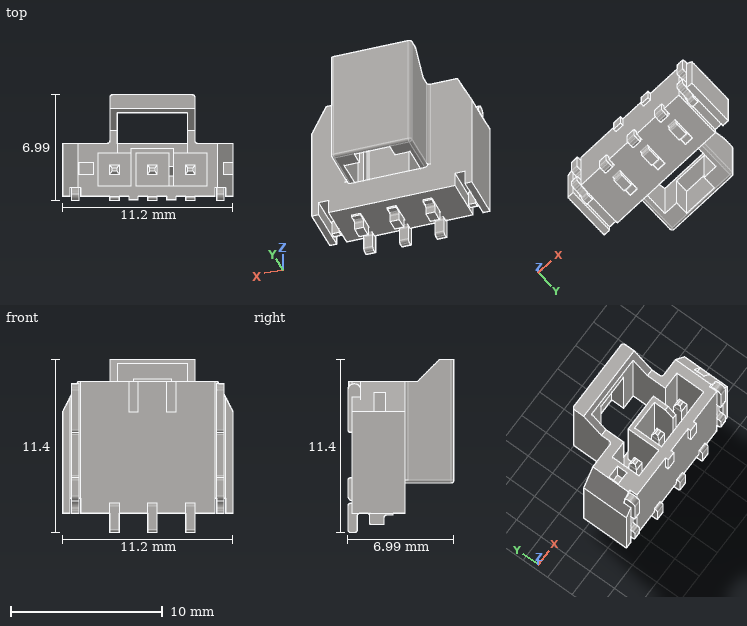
import cadquery as cq

BODY_WIDTH = 11.24
BODY_DEPTH = 3.5
BODY_HEIGHT = 8.71
SHOULDER_WIDTH = 1.02
SHOULDER_HEIGHT = 2.0

HOOD_WIDTH = 5.62
HOOD_WALL = 0.5
HOOD_BACK_WALL = 1.22
HOOD_BACK = 6.72
HOOD_BOTTOM = 2.0
HOOD_TOP = 10.16
HOOD_SLOPE_HEIGHT = HOOD_TOP - BODY_HEIGHT
HOOD_RIM_DEPTH = 0.94
HOOD_RADIUS = 0.19
HOOD_ROOT_RADIUS = 0.19

CATCH_WIDTH = 2.5
CATCH_DEPTH = 0.97
CATCH_TOP = 8.86

PITCH = 2.5
ROW_CENTRE = 0.3
PIN_XS = [ROW_CENTRE + i * PITCH for i in (-1, 0, 1)]
PIN_Y = 1.77
PIN_SIZE = 0.63
PIN_TIP_WIDTH = 0.36
PIN_TIP_DEPTH = 0.22
PIN_TIP_LENGTH = 0.5
PIN_TOP = 7.0

POCKET_SIZE = 2.19
CAVITY_WIDTH = 2 * PITCH + POCKET_SIZE
CAVITY_FRONT = PIN_Y - POCKET_SIZE / 2
CAVITY_BACK = PIN_Y + POCKET_SIZE / 2
CAVITY_FLOOR = 1.5
LATCH_FLOOR = HOOD_BOTTOM

TOWER_WALL = 0.31
TOWER_WIDTH = POCKET_SIZE + 2 * TOWER_WALL
TOWER_BACK = CAVITY_BACK + TOWER_WALL
KEY_SLOPE_START = 1.98
KEY_SLOPE_END = 1.34

RIB_WIDTH = 0.62
RIB_HEIGHT = 2.01
RIB_PROJECTION = 0.22

RECESS_LEFT_XS = (-4.54, -3.59)
RECESS_RIGHT_X = 4.98
RECESS_FRONT = 1.45
RECESS_BACK = 2.22
RECESS_DEPTH = 2.0

GROOVE_X = 4.785
GROOVE_WIDTH = 0.69
GROOVE_DEPTH = 0.58
NOTCH_HEIGHT = 0.99

STRIP_FACE = -0.27
TAIL_BOTTOM = -1.27

NAIL_WIDTH = 0.5
NAIL_TOP = 8.55
NAIL_HOOK_RADIUS = 0.4
NAIL_STRIP_FRONT = 0.24
NAIL_PAD_BOTTOM = 5.34
NAIL_FOOT_TOP = 2.36
NAIL_FOOT_BOTTOM = 0.83
NAIL_PAD_RADIUS = 0.17
NAIL_STRIP_RADIUS = 0.14
NAIL_FOOT_RADIUS = 0.32
NAIL_TAIL_FRONT = 0.7
NAIL_TAIL_BACK = 1.2
NAIL_ARCH_RADIUS = 0.46
NAIL_TAIL_RADIUS = 0.17

TAIL_BACK = 0.36
TAIL_TOP = 0.68
TAIL_RADIUS = 0.2
STUB_FRONT = 1.15
STUB_BACK = 2.12
STUB_BOTTOM = -0.74
STUB_RADIUS = 0.12
STEP_BACK = 2.71
STEP_BOTTOM = -0.12
CONTACT_ROOT_RADIUS = 0.16


def box(x_range, y_range, z_range):
    size = [high - low for low, high in (x_range, y_range, z_range)]
    corner = (x_range[0], y_range[0], z_range[0])
    return cq.Workplane("XY").box(*size, centered=False).translate(corner)


def around(centre, width):
    return (centre - width / 2, centre + width / 2)


def along_x(outline, centre_x, width):
    """Extrude a closed YZ outline along X, centred on centre_x."""
    return outline.extrude(width).translate((centre_x - width / 2, 0, 0))


def side_sheet(points, centre_x, width):
    """Extrude a polygon of (Y, Z) points along X, centred on centre_x."""
    return along_x(cq.Workplane("YZ").polyline(points).close(), centre_x, width)


def make_block():
    half = BODY_WIDTH / 2
    shoulder_x = half - SHOULDER_WIDTH
    shoulder_z = BODY_HEIGHT - SHOULDER_HEIGHT
    outline = [
        (-half, 0),
        (half, 0),
        (half, shoulder_z),
        (shoulder_x, BODY_HEIGHT),
        (-shoulder_x, BODY_HEIGHT),
        (-half, shoulder_z),
    ]
    return cq.Workplane("XZ").polyline(outline).close().extrude(-BODY_DEPTH)


def make_hood():
    slope_back = HOOD_BACK - HOOD_RIM_DEPTH
    outline = [
        (BODY_DEPTH, HOOD_BOTTOM),
        (HOOD_BACK, HOOD_BOTTOM),
        (HOOD_BACK, HOOD_TOP),
        (slope_back, HOOD_TOP),
        (slope_back - HOOD_SLOPE_HEIGHT, BODY_HEIGHT),
        (BODY_DEPTH, BODY_HEIGHT),
    ]
    hood = side_sheet(outline, ROW_CENTRE, HOOD_WIDTH)
    hood = hood.edges(">Y and |Z").fillet(HOOD_RADIUS)
    return hood.faces("<Z").edges("not <Y").fillet(HOOD_RADIUS)


def add_hood_root(housing):
    """Concave fillets where the hood's sides meet the back of the block."""
    for side in (-1, 1):
        x = ROW_CENTRE + side * HOOD_WIDTH / 2
        web = (
            cq.Workplane("XY", origin=(x, BODY_DEPTH, HOOD_BOTTOM + HOOD_RADIUS))
            .lineTo(side * HOOD_ROOT_RADIUS, 0)
            .radiusArc((0, HOOD_ROOT_RADIUS), side * HOOD_ROOT_RADIUS)
            .close()
            .extrude(BODY_HEIGHT - HOOD_BOTTOM - HOOD_RADIUS)
        )
        housing = housing.union(web)
    return housing


def cut_cavity(housing):
    above = HOOD_TOP
    inner = around(ROW_CENTRE, HOOD_WIDTH - 2 * HOOD_WALL)
    hood_front = HOOD_BACK - HOOD_BACK_WALL
    cavity = box(around(ROW_CENTRE, CAVITY_WIDTH), (CAVITY_FRONT, CAVITY_BACK), (CAVITY_FLOOR, above))
    latch_slot = box(inner, (CAVITY_BACK, BODY_DEPTH), (LATCH_FLOOR, above))
    hood_opening = box(inner, (BODY_DEPTH, hood_front), (0, above))
    catch = box(around(ROW_CENTRE, CATCH_WIDTH), (hood_front, hood_front + CATCH_DEPTH), (0, CATCH_TOP))
    return housing.cut(cavity).cut(latch_slot).cut(hood_opening).cut(catch)


def make_tower():
    outer = box(around(ROW_CENTRE, TOWER_WIDTH), (CAVITY_FRONT, TOWER_BACK), (CAVITY_FLOOR, BODY_HEIGHT))
    inner = box(around(ROW_CENTRE, POCKET_SIZE), (CAVITY_FRONT, CAVITY_BACK), (CAVITY_FLOOR, BODY_HEIGHT))
    slope_drop = KEY_SLOPE_START - KEY_SLOPE_END
    key_gap = [
        (CAVITY_FRONT, LATCH_FLOOR),
        (KEY_SLOPE_END, LATCH_FLOOR),
        (KEY_SLOPE_END, BODY_HEIGHT - slope_drop),
        (KEY_SLOPE_START, BODY_HEIGHT),
        (CAVITY_FRONT, BODY_HEIGHT),
    ]
    wall_x = ROW_CENTRE + (POCKET_SIZE + TOWER_WALL) / 2
    return outer.cut(inner).cut(side_sheet(key_gap, wall_x, TOWER_WALL))


def add_ribs(housing):
    for side in (-1, 1):
        rib_x = ROW_CENTRE + side * PITCH / 2
        z_range = (BODY_HEIGHT - RIB_HEIGHT, BODY_HEIGHT)
        housing = housing.union(box(around(rib_x, RIB_WIDTH), (-RIB_PROJECTION, CAVITY_FRONT), z_range))
    return housing


def cut_recesses(housing):
    y_range = (RECESS_FRONT, RECESS_BACK)
    z_range = (BODY_HEIGHT - RECESS_DEPTH, BODY_HEIGHT)
    housing = housing.cut(box(RECESS_LEFT_XS, y_range, z_range))
    return housing.cut(box((RECESS_RIGHT_X, BODY_WIDTH / 2), y_range, z_range))


def cut_grooves(housing):
    for side in (-1, 1):
        x_range = around(side * GROOVE_X, GROOVE_WIDTH)
        housing = housing.cut(box(x_range, (0, GROOVE_DEPTH), (0, BODY_HEIGHT)))
        housing = housing.cut(box(x_range, (0, BODY_DEPTH), (0, NOTCH_HEIGHT)))
    return housing


def make_nail(centre_x):
    hook_shoulder = NAIL_TOP - NAIL_HOOK_RADIUS
    outline = (
        cq.Workplane("YZ")
        .moveTo(NAIL_TAIL_BACK, 0)
        .lineTo(NAIL_TAIL_FRONT + NAIL_TAIL_RADIUS, 0)
        .radiusArc((NAIL_TAIL_FRONT, NAIL_TAIL_RADIUS), NAIL_TAIL_RADIUS)
        .lineTo(NAIL_TAIL_FRONT, NAIL_FOOT_BOTTOM - NAIL_ARCH_RADIUS)
        .radiusArc((NAIL_TAIL_FRONT - NAIL_ARCH_RADIUS, NAIL_FOOT_BOTTOM), -NAIL_ARCH_RADIUS)
        .lineTo(STRIP_FACE + NAIL_FOOT_RADIUS, NAIL_FOOT_BOTTOM)
        .radiusArc((STRIP_FACE, NAIL_FOOT_BOTTOM + NAIL_FOOT_RADIUS), NAIL_FOOT_RADIUS)
        .lineTo(STRIP_FACE, NAIL_FOOT_TOP - NAIL_PAD_RADIUS)
        .radiusArc((STRIP_FACE + NAIL_PAD_RADIUS, NAIL_FOOT_TOP), NAIL_PAD_RADIUS)
        .lineTo(NAIL_STRIP_FRONT - NAIL_STRIP_RADIUS, NAIL_FOOT_TOP)
        .radiusArc((NAIL_STRIP_FRONT, NAIL_FOOT_TOP + NAIL_STRIP_RADIUS), -NAIL_STRIP_RADIUS)
        .lineTo(NAIL_STRIP_FRONT, NAIL_PAD_BOTTOM - NAIL_STRIP_RADIUS)
        .radiusArc((NAIL_STRIP_FRONT - NAIL_STRIP_RADIUS, NAIL_PAD_BOTTOM), -NAIL_STRIP_RADIUS)
        .lineTo(STRIP_FACE + NAIL_PAD_RADIUS, NAIL_PAD_BOTTOM)
        .radiusArc((STRIP_FACE, NAIL_PAD_BOTTOM + NAIL_PAD_RADIUS), NAIL_PAD_RADIUS)
        .lineTo(STRIP_FACE, hook_shoulder)
        .radiusArc((STRIP_FACE + NAIL_HOOK_RADIUS, NAIL_TOP), NAIL_HOOK_RADIUS)
        .lineTo(GROOVE_DEPTH - NAIL_HOOK_RADIUS, NAIL_TOP)
        .radiusArc((GROOVE_DEPTH, hook_shoulder), NAIL_HOOK_RADIUS)
        .lineTo(GROOVE_DEPTH, NOTCH_HEIGHT)
        .lineTo(NAIL_TAIL_BACK, NOTCH_HEIGHT)
        .close()
    )
    return along_x(outline, centre_x, NAIL_WIDTH)


def make_contact(centre_x):
    post_start = PIN_TOP - PIN_TIP_LENGTH
    post = box(around(centre_x, PIN_SIZE), around(PIN_Y, PIN_SIZE), (0, post_start))
    tip = (
        cq.Workplane("XY", origin=(centre_x, PIN_Y, post_start))
        .rect(PIN_SIZE, PIN_SIZE)
        .workplane(offset=PIN_TIP_LENGTH)
        .rect(PIN_TIP_WIDTH, PIN_TIP_DEPTH)
        .loft()
    )
    tail_outline = (
        cq.Workplane("YZ")
        .moveTo(TAIL_BACK + CONTACT_ROOT_RADIUS, 0)
        .radiusArc((TAIL_BACK, -CONTACT_ROOT_RADIUS), -CONTACT_ROOT_RADIUS)
        .lineTo(TAIL_BACK, TAIL_BOTTOM + TAIL_RADIUS)
        .radiusArc((TAIL_BACK - TAIL_RADIUS, TAIL_BOTTOM), TAIL_RADIUS)
        .lineTo(STRIP_FACE + TAIL_RADIUS, TAIL_BOTTOM)
        .radiusArc((STRIP_FACE, TAIL_BOTTOM + TAIL_RADIUS), TAIL_RADIUS)
        .lineTo(STRIP_FACE, TAIL_TOP - TAIL_RADIUS)
        .radiusArc((STRIP_FACE + TAIL_RADIUS, TAIL_TOP), TAIL_RADIUS)
        .lineTo(TAIL_BACK + CONTACT_ROOT_RADIUS, TAIL_TOP)
        .close()
    )
    stub_outline = (
        cq.Workplane("YZ")
        .moveTo(STEP_BACK, 0)
        .lineTo(STEP_BACK, STEP_BOTTOM)
        .lineTo(STUB_BACK + CONTACT_ROOT_RADIUS, STEP_BOTTOM)
        .radiusArc((STUB_BACK, STEP_BOTTOM - CONTACT_ROOT_RADIUS), -CONTACT_ROOT_RADIUS)
        .lineTo(STUB_BACK, STUB_BOTTOM)
        .lineTo(STUB_FRONT + STUB_RADIUS, STUB_BOTTOM)
        .radiusArc((STUB_FRONT, STUB_BOTTOM + STUB_RADIUS), STUB_RADIUS)
        .lineTo(STUB_FRONT, -STUB_RADIUS)
        .radiusArc((STUB_FRONT - STUB_RADIUS, 0), -STUB_RADIUS)
        .close()
    )
    contact = post.union(tip)
    for outline in (tail_outline, stub_outline):
        contact = contact.union(along_x(outline, centre_x, PIN_SIZE))
    return contact


housing = make_block().union(make_hood())
housing = add_hood_root(housing)
housing = cut_cavity(housing).union(make_tower())
housing = add_ribs(housing)
housing = cut_recesses(housing)
housing = cut_grooves(housing)
for side in (-1, 1):
    housing = housing.union(make_nail(side * GROOVE_X))
for pin_x in PIN_XS:
    housing = housing.union(make_contact(pin_x))
result = housing